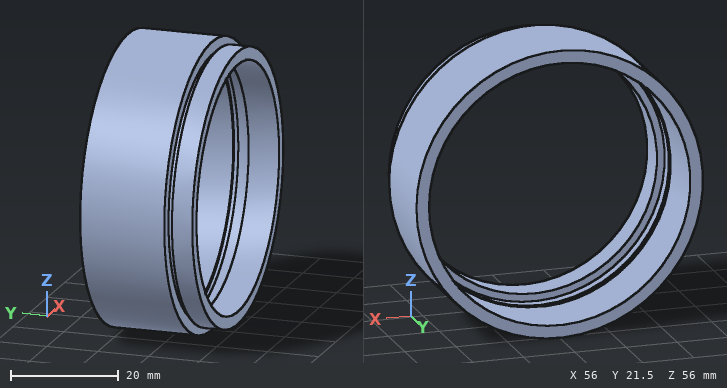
import cadquery as cq

body_diameter = 56.0
lip_diameter = 53.0
neck_diameter = 51.0
lip_bore_diameter = 48.0
body_bore_diameter = 51.0
inner_groove_diameter = 52.0

total_length = 21.5
lip_length = 4.0
neck_length = 1.0
body_length = total_length - lip_length - neck_length

lip_bore_length = 6.0
inner_groove_start = 8.5
inner_groove_width = 1.0


def cylinder(diameter, start, length):
    """Solid cylinder along +Y whose near face lies at y = start."""
    plane = cq.Plane(origin=(0, start, 0), xDir=(1, 0, 0), normal=(0, 1, 0))
    return cq.Workplane(plane).circle(diameter / 2).extrude(length)


lip = cylinder(lip_diameter, 0, lip_length)
neck = cylinder(neck_diameter, lip_length, neck_length)
body = cylinder(body_diameter, lip_length + neck_length, body_length)

lip_bore = cylinder(lip_bore_diameter, 0, lip_bore_length)
body_bore = cylinder(body_bore_diameter, lip_bore_length, total_length - lip_bore_length)

inner_groove = cylinder(inner_groove_diameter, inner_groove_start, inner_groove_width)

outside = lip.union(neck).union(body)
result = outside.cut(lip_bore).cut(body_bore).cut(inner_groove)